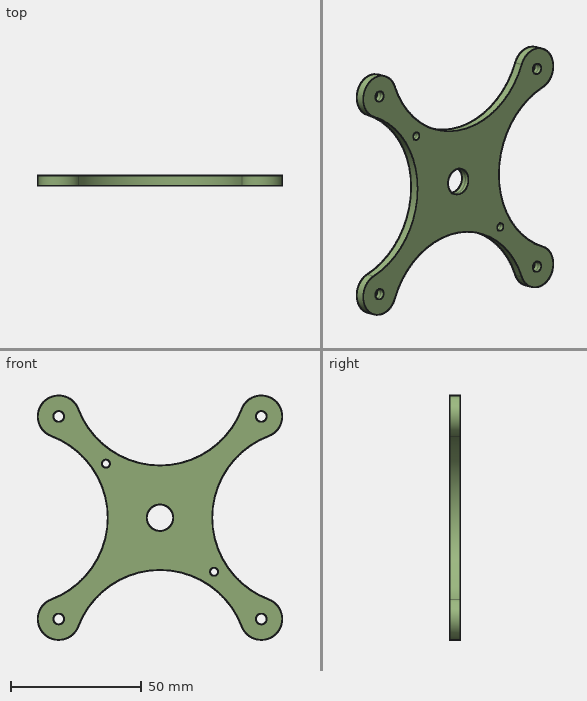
import cadquery as cq
import math

overall = 93.8
thickness = 4.0
pad_radius = 8.1
pad_offset = overall / 2 - pad_radius
waist = 20.1

pad_hole_diameter = 4.0
centre_hole_diameter = 10.0
small_hole_diameter = 3.0
small_hole_offset = 20.7

pad_rise = pad_offset - waist
scallop_radius = (pad_offset**2 + pad_rise**2 - pad_radius**2) / (2 * (pad_radius + pad_rise))
scallop_centre = waist + scallop_radius

tangent_fraction = pad_radius / (pad_radius + scallop_radius)
tangent_x = pad_offset * (1 - tangent_fraction)
tangent_z = pad_offset + (scallop_centre - pad_offset) * tangent_fraction
pad_tip = pad_offset + pad_radius / math.sqrt(2)


def turned(point, quarter_turns):
    """Rotate a point clockwise about the plate centre in quarter turns."""
    x, z = point
    for _ in range(quarter_turns):
        x, z = z, -x
    return (x, z)


def plate():
    """Outline of four pads joined by four tangent scallops."""
    outline = cq.Workplane("XZ").moveTo(-tangent_x, tangent_z)
    for turn in range(4):
        outline = outline.threePointArc(turned((0, waist), turn), turned((tangent_x, tangent_z), turn))
        outline = outline.threePointArc(turned((pad_tip, pad_tip), turn), turned((tangent_z, tangent_x), turn))
    return outline.close().extrude(thickness / 2, both=True)


def holes(points, diameter):
    """Cylinders that pass through the plate at the given points."""
    return cq.Workplane("XZ").pushPoints(points).circle(diameter / 2).extrude(thickness, both=True)


pad_points = [turned((pad_offset, pad_offset), turn) for turn in range(4)]
small_points = [(-small_hole_offset, small_hole_offset), (small_hole_offset, -small_hole_offset)]

result = (
    plate()
    .cut(holes(pad_points, pad_hole_diameter))
    .cut(holes(small_points, small_hole_diameter))
    .cut(holes([(0, 0)], centre_hole_diameter))
)